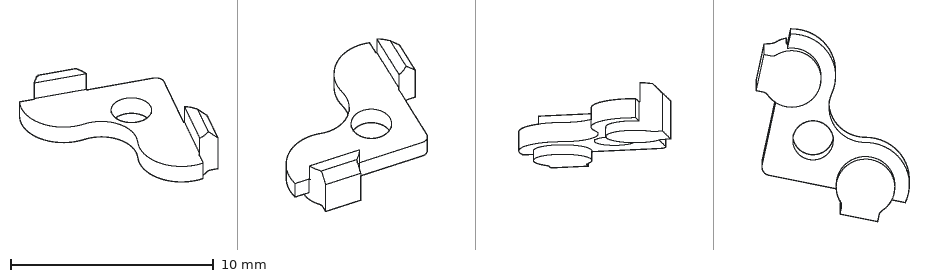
import cadquery as cq
import math


foot_height = 0.48
plate_thickness = 0.97
tab_height = 0.97
plate_top = foot_height + plate_thickness
clip_top = plate_top + tab_height

hole_diameter = 2.0
edge_offset = 2.2
corner_radius = 0.43
lobe_radius = 2.17
waist_radius = 1.8

clip_x = -1.7
clip_y = -3.0
foot_radius = 1.45
block_width = 1.9
block_reach = 1.1
tab_gap = 0.045
blend_radius = 0.3
lead_in = 0.5

outer_x = -edge_offset - block_reach
tab_inner_x = -edge_offset - tab_gap


def mirrored(point):
    """Reflect an (x, y) point in the symmetry line y = -x."""
    x, y = point
    return (-y, -x)


def toward(start, target, distance):
    """Point at a given distance from start, on the line to target."""
    length = math.dist(start, target)
    return tuple(s + (t - s) * distance / length for s, t in zip(start, target))


def make_plate():
    lobe = (clip_x, clip_y)
    lobe_end = (-edge_offset, clip_y - math.sqrt(lobe_radius**2 - (clip_x + edge_offset)**2))
    lobe_mid = (clip_x + lobe_radius * math.sqrt(0.5), clip_y - lobe_radius * math.sqrt(0.5))

    half_sum = (clip_x - clip_y) / 2
    half_span = (clip_x + clip_y) / 2
    waist_c = half_sum + math.sqrt((lobe_radius + waist_radius)**2 / 2 - half_span**2)
    waist = (waist_c, -waist_c)
    waist_start = toward(lobe, waist, lobe_radius)
    waist_mid = toward(waist, (0, 0), waist_radius)

    outline = (
        cq.Workplane("XY", origin=(0, 0, foot_height))
        .moveTo(-edge_offset, edge_offset)
        .lineTo(*lobe_end)
        .threePointArc(lobe_mid, waist_start)
        .threePointArc(waist_mid, mirrored(waist_start))
        .threePointArc(mirrored(lobe_mid), mirrored(lobe_end))
        .close()
    )
    plate = outline.extrude(plate_thickness)
    return plate.edges("|Z").edges(cq.selectors.NearestToPointSelector(
        (-edge_offset, edge_offset, foot_height + plate_thickness / 2)
    )).fillet(corner_radius)


def make_clip_profile(height):
    """Foot disc joined to the rectangular block, with concave blends between."""
    half_width = block_width / 2
    disc = cq.Workplane("XY").center(clip_x, clip_y).circle(foot_radius).extrude(height)
    block = (
        cq.Workplane("XY")
        .center((outer_x + clip_x) / 2, clip_y)
        .rect(clip_x - outer_x, block_width)
        .extrude(height)
    )
    profile = disc.union(block)

    junction_x = clip_x - math.sqrt(foot_radius**2 - half_width**2)
    for side in (-1, 1):
        junction = (junction_x, clip_y + side * half_width, height / 2)
        profile = (
            profile.edges("|Z")
            .edges(cq.selectors.NearestToPointSelector(junction))
            .fillet(blend_radius)
        )
    return profile


def make_clip():
    foot = make_clip_profile(plate_top)

    tab_depth = tab_inner_x - outer_x
    tab_zone = (
        cq.Workplane("XY")
        .center(outer_x + tab_depth / 2, clip_y)
        .rect(tab_depth, 2 * foot_radius)
        .extrude(clip_top)
    )
    tab = make_clip_profile(clip_top).intersect(tab_zone)

    lead_in_cut = (
        cq.Workplane("XZ", origin=(0, clip_y + foot_radius, 0))
        .moveTo(outer_x, clip_top)
        .lineTo(outer_x + lead_in, clip_top)
        .lineTo(outer_x, clip_top - lead_in)
        .close()
        .extrude(2 * foot_radius)
    )
    return foot.union(tab).cut(lead_in_cut)


def make_hole():
    return cq.Workplane("XY").circle(hole_diameter / 2).extrude(clip_top)


clip = make_clip()
symmetry_normal = (1, 1, 0)
result = make_plate().union(clip).union(clip.mirror(symmetry_normal)).cut(make_hole())